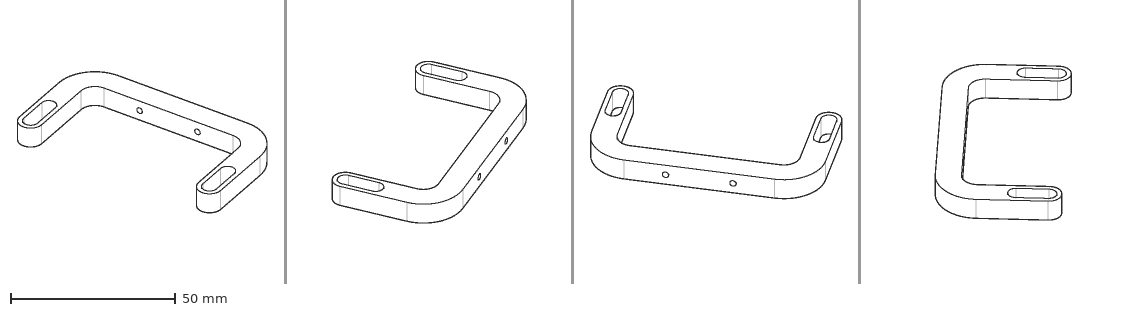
import cadquery as cq

width = 73.0
depth = 39.0
thickness = 7.0

bar_width = 8.0
corner_outer_radius = 13.0
corner_inner_radius = 5.05

slot_width = 5.0
slot_length = 15.0

hole_diameter = 2.0
hole_offset = 10.5

arm_end_radius = bar_width / 2
arm_center_x = (width - bar_width) / 2
slot_center_y = arm_end_radius + (slot_length - slot_width) / 2


def rounded_block(block_width, back_y, corner_radius):
    """Block from Y = 0 to back_y with both rear vertical edges rounded."""
    block = cq.Workplane("XY").box(block_width, back_y, thickness, centered=(True, False, False))
    return block.edges("|Z and >Y").fillet(corner_radius)


def make_bracket():
    """U-shaped bar with rounded corners and fully rounded arm ends."""
    outer = rounded_block(width, depth, corner_outer_radius)
    opening = rounded_block(width - 2 * bar_width, depth - bar_width, corner_inner_radius)
    tip_blocks = cq.Workplane("XY").box(width, arm_end_radius, thickness, centered=(True, False, False))
    tip_discs = (
        cq.Workplane("XY")
        .pushPoints([(-arm_center_x, arm_end_radius), (arm_center_x, arm_end_radius)])
        .circle(arm_end_radius)
        .extrude(thickness)
    )
    return outer.cut(opening).cut(tip_blocks).union(tip_discs)


def make_slots():
    """Cutters for the slots, concentric with the rounded arm ends."""
    return (
        cq.Workplane("XY")
        .pushPoints([(-arm_center_x, slot_center_y), (arm_center_x, slot_center_y)])
        .slot2D(slot_length, slot_width, 90)
        .extrude(thickness)
    )


def make_cross_holes():
    """Cutters for the round holes running along Y through the back bar."""
    return (
        cq.Workplane("XZ")
        .pushPoints([(-hole_offset, thickness / 2), (hole_offset, thickness / 2)])
        .circle(hole_diameter / 2)
        .extrude(-depth)
    )


result = make_bracket().cut(make_slots()).cut(make_cross_holes())